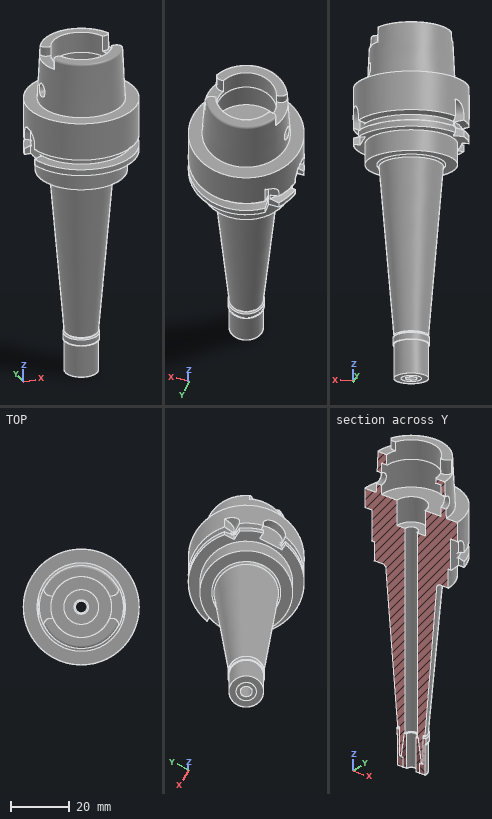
import cadquery as cq
import math

TOTAL_LENGTH = 125.0
NUT_LENGTH = 14.6
HUB_BOTTOM = 77.5
FLANGE_BOTTOM = 85.0
FLANGE_HEIGHT = 20.0
FLANGE_TOP = FLANGE_BOTTOM + FLANGE_HEIGHT

SHANK_BASE_RADIUS = 15.2
SHANK_TOP_RADIUS = 14.2
SHANK_EDGE_ROUND = 0.9
MOUTH_RADIUS = 10.5
MOUTH_DEPTH = 7.8
CAVITY_RADIUS = 12.8
CAVITY_FLOOR = FLANGE_TOP
TUBE_BORE_RADIUS = 6.0
TUBE_BORE_DEPTH = 10.0
THROUGH_BORE_RADIUS = 2.5

SLOT_WIDTH = 7.8
SLOT_CORNER_RADIUS = 2.2
SLOT_DEPTH_MINUS_X = 3.5
SLOT_DEPTH_PLUS_X = 5.8

CROSS_HOLE_RADIUS = 2.4
CROSS_HOLE_Z = TOTAL_LENGTH - 14.0

FLANGE_RADIUS = 20.0
GROOVE_FLOOR_RADIUS = 17.5
GROOVE_Z = 89.1
GROOVE_MOUTH_WIDTH = 3.8
GROOVE_FLOOR_WIDTH = 1.9
POCKET_WIDTH = 8.8
POCKET_TOP = 97.2
POCKET_FLOOR_X = 17.1
NOTCH_FLOOR_X = 12.4
NOTCH_Y = 16.2

HUB_RADIUS = 16.0
NECK_TOP_RADIUS = 11.1
NECK_FLARE = 0.8
NECK_END_RADIUS = 6.0
NECK_GAP = 0.8
NECK_BOTTOM = NUT_LENGTH + NECK_GAP

SPINDLE_RADIUS = 5.1
NUT_RADIUS = 6.0
NUT_COLLAR_RADIUS = 6.4
NUT_COLLAR_HEIGHT = 2.4
NUT_FRONT_THICKNESS = 4.0
COLLET_NOSE_RADIUS = 3.5
COLLET_MAX_RADIUS = 4.2
COLLET_TAPER_LENGTH = 9.8
COLLET_TAPER_ANGLE = 8.0
COLLET_BORE_RADIUS = 2.0
COLLET_TOP = NUT_FRONT_THICKNESS + COLLET_TAPER_LENGTH
COLLET_TOP_RADIUS = COLLET_MAX_RADIUS - COLLET_TAPER_LENGTH * math.tan(math.radians(COLLET_TAPER_ANGLE))


def revolve_profile(points):
    """Turn a closed (radius, z) outline about the Z axis."""
    return cq.Workplane("XZ").polyline(points).close().revolve(360, (0, 0, 0), (0, 1, 0))


def cylinder(radius, bottom, top):
    return cq.Workplane("XY").workplane(offset=bottom).circle(radius).extrude(top - bottom)


def holder_outside():
    """Shank, flange with its gripper groove, hub, neck and spindle nose."""
    mouth = GROOVE_MOUTH_WIDTH / 2
    floor = GROOVE_FLOOR_WIDTH / 2
    shank = (
        revolve_profile([
            (0, FLANGE_TOP),
            (SHANK_BASE_RADIUS, FLANGE_TOP),
            (SHANK_TOP_RADIUS, TOTAL_LENGTH),
            (0, TOTAL_LENGTH),
        ])
        .faces(">Z").edges().fillet(SHANK_EDGE_ROUND)
    )
    flange = revolve_profile([
        (0, FLANGE_BOTTOM),
        (FLANGE_RADIUS, FLANGE_BOTTOM),
        (FLANGE_RADIUS, GROOVE_Z - mouth),
        (GROOVE_FLOOR_RADIUS, GROOVE_Z - floor),
        (GROOVE_FLOOR_RADIUS, GROOVE_Z + floor),
        (FLANGE_RADIUS, GROOVE_Z + mouth),
        (FLANGE_RADIUS, FLANGE_TOP),
        (0, FLANGE_TOP),
    ])
    neck = revolve_profile([
        (0, NUT_FRONT_THICKNESS),
        (SPINDLE_RADIUS, NUT_FRONT_THICKNESS),
        (SPINDLE_RADIUS, NECK_BOTTOM),
        (NECK_END_RADIUS, NECK_BOTTOM),
        (NECK_TOP_RADIUS, HUB_BOTTOM - NECK_FLARE),
        (NECK_TOP_RADIUS + NECK_FLARE, HUB_BOTTOM),
        (HUB_RADIUS, HUB_BOTTOM),
        (HUB_RADIUS, FLANGE_BOTTOM),
        (0, FLANGE_BOTTOM),
    ])
    return shank.union(flange).union(neck)


def holder_bore():
    """Clamping cavity, coolant tube bore, through bore and collet seat."""
    mouth_floor = TOTAL_LENGTH - MOUTH_DEPTH
    tube_floor = CAVITY_FLOOR - TUBE_BORE_DEPTH
    return revolve_profile([
        (0, NUT_FRONT_THICKNESS),
        (COLLET_MAX_RADIUS, NUT_FRONT_THICKNESS),
        (COLLET_TOP_RADIUS, COLLET_TOP),
        (THROUGH_BORE_RADIUS, COLLET_TOP),
        (THROUGH_BORE_RADIUS, tube_floor),
        (TUBE_BORE_RADIUS, tube_floor),
        (TUBE_BORE_RADIUS, CAVITY_FLOOR),
        (CAVITY_RADIUS, CAVITY_FLOOR),
        (CAVITY_RADIUS, mouth_floor),
        (MOUTH_RADIUS, mouth_floor),
        (MOUTH_RADIUS, TOTAL_LENGTH),
        (0, TOTAL_LENGTH),
    ])


def drive_slot(side, depth):
    """Rim slot on the +X (side=1) or -X (side=-1) side, flaring outwards with rounded lips."""
    half = SLOT_WIDTH / 2
    lip_y = half + SLOT_CORNER_RADIUS
    lip_x = math.sqrt(SHANK_TOP_RADIUS**2 - lip_y**2)
    straight_x = lip_x - SLOT_CORNER_RADIUS
    arc_inset = SLOT_CORNER_RADIUS * math.sqrt(0.5)
    arc_x = straight_x + arc_inset
    arc_y = lip_y - arc_inset
    return (
        cq.Workplane("XY").workplane(offset=TOTAL_LENGTH - depth)
        .moveTo(0, -half)
        .lineTo(side * straight_x, -half)
        .threePointArc((side * arc_x, -arc_y), (side * lip_x, -lip_y))
        .lineTo(side * FLANGE_RADIUS, -lip_y)
        .lineTo(side * FLANGE_RADIUS, lip_y)
        .lineTo(side * lip_x, lip_y)
        .threePointArc((side * arc_x, arc_y), (side * straight_x, half))
        .lineTo(0, half)
        .close()
        .extrude(depth)
    )


def cross_hole():
    return (
        cq.Workplane("YZ").center(0, CROSS_HOLE_Z).circle(CROSS_HOLE_RADIUS)
        .extrude(SHANK_BASE_RADIUS, both=True)
    )


def flange_pocket(side, center_y, floor_x):
    """Round-topped pocket milled along X into the flange, open at the flange's lower face."""
    half = POCKET_WIDTH / 2
    arc_z = POCKET_TOP - half
    return (
        cq.Workplane("YZ").workplane(offset=side * floor_x)
        .moveTo(center_y - half, FLANGE_BOTTOM)
        .lineTo(center_y - half, arc_z)
        .threePointArc((center_y, POCKET_TOP), (center_y + half, arc_z))
        .lineTo(center_y + half, FLANGE_BOTTOM)
        .close()
        .extrude(side * FLANGE_RADIUS)
    )


def make_holder():
    body = holder_outside().cut(holder_bore()).cut(cross_hole())
    for side, slot_depth in ((-1, SLOT_DEPTH_MINUS_X), (1, SLOT_DEPTH_PLUS_X)):
        body = body.cut(drive_slot(side, slot_depth))
        body = body.cut(flange_pocket(side, 0, POCKET_FLOOR_X))
    return body.cut(flange_pocket(-1, NOTCH_Y, NOTCH_FLOOR_X))


def make_nut():
    """Cup-shaped clamping nut with a collar at its upper rim."""
    body = cylinder(NUT_RADIUS, 0, NUT_LENGTH)
    collar = cylinder(NUT_COLLAR_RADIUS, NUT_LENGTH - NUT_COLLAR_HEIGHT, NUT_LENGTH)
    spindle_bore = cylinder(SPINDLE_RADIUS, NUT_FRONT_THICKNESS, NUT_LENGTH)
    nose_bore = cylinder(COLLET_NOSE_RADIUS, 0, NUT_FRONT_THICKNESS)
    return body.union(collar).cut(spindle_bore).cut(nose_bore)


def make_collet():
    """Tapered collet in the spindle seat, its nose flush with the nut."""
    return revolve_profile([
        (COLLET_BORE_RADIUS, 0),
        (COLLET_NOSE_RADIUS, 0),
        (COLLET_NOSE_RADIUS, NUT_FRONT_THICKNESS),
        (COLLET_MAX_RADIUS, NUT_FRONT_THICKNESS),
        (COLLET_TOP_RADIUS, COLLET_TOP),
        (COLLET_BORE_RADIUS, COLLET_TOP),
    ])


holder = make_holder()
nut = make_nut()
collet = make_collet()

result = cq.Compound.makeCompound([holder.solids().val(), nut.solids().val(), collet.val()])